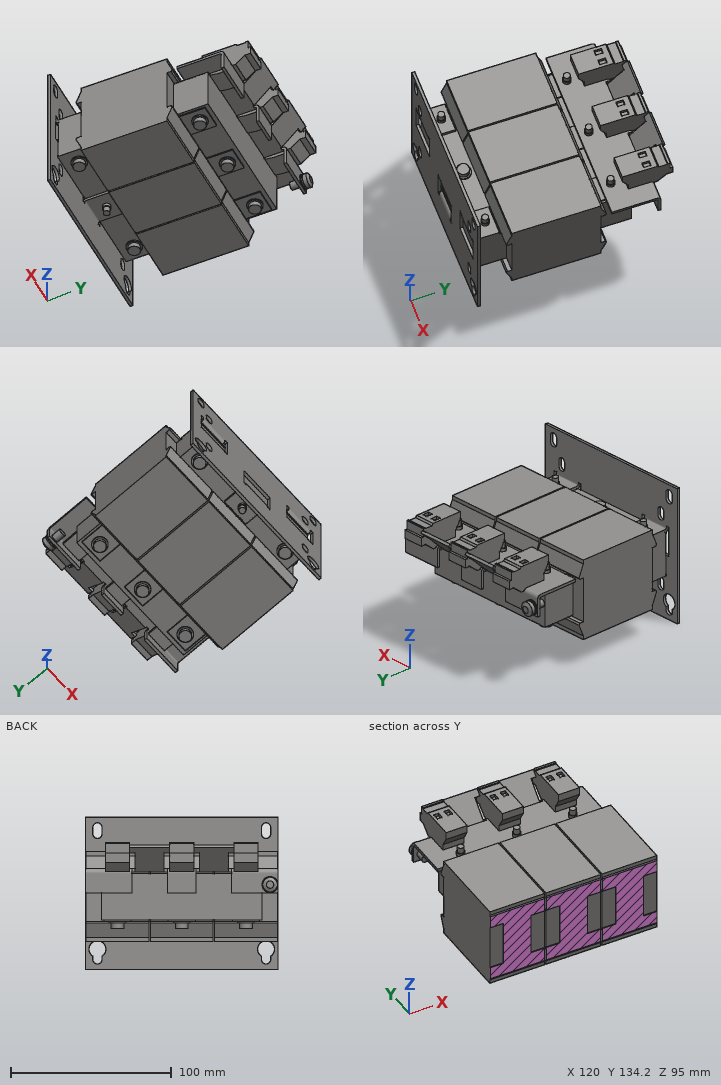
import cadquery as cq
import math


SHEET = 2.0
BEND_INNER = 1.0
BEND_OUTER = BEND_INNER + SHEET

PLATE_W = 120.0
PLATE_H = 95.0
UPRIGHT = 90.0
MOUNT_X = 52.5
MOUNT_SLOT_W = 5.6
MOUNT_SLOT_LEN = 9.6
MOUNT_SLOT_Z = 39.1
KEYHOLE_D = 10.4
KEYHOLE_Z = -34.7
KEYHOLE_END_Z = -41.1
SMALL_SLOT_X = 45.0
SMALL_SLOT_Z = 24.6
SMALL_SLOT_W = 5.0
SMALL_SLOT_LEN = 9.2

PITCH = 40.0
CENTRES = (-PITCH, 0.0, PITCH)
CORE_Z = -2.0
CORE_W = 100.0
CORE_T = 28.8
YOKE_D = 20.0
CORE_CLEARANCE = 0.5
CORE_FRONT = SHEET + CORE_CLEARANCE
CORE_BACK = 105.8
LINER_T = 1.0
STACK_HALF = CORE_T / 2 + LINER_T
STACK_TOP = CORE_Z + STACK_HALF
LINER_STRIP_W = 17.0
LINER_STRIP_BACK = 103.0
LEG_W = 20.0
COIL_W = 39.0
YOKE_GAP = 0.4
COIL_FRONT = CORE_FRONT + YOKE_D + YOKE_GAP
COIL_BACK = 82.0
COIL_HALF_H = 28.0
WING_OUT = 3.7
WING_TIP_RISE = 1.1
WING_LIP = 0.9
WING_START_DROP = 2.7

TAB_W = 20.0
TAB_END_Y = 18.4
WINDOW_W = 24.2
WINDOW_H = 20.4
WINDOW_RELIEF = 1.0

BRACKET_W = 120.0
BRACKET_FRONT = 89.0
BRACKET_BACK = 121.6
FLANGE_BOTTOM_Z = 0.3
NOTCH_W = 22.0
NOTCH_Y = 118.2
MARKER_X = PITCH / 2
MARKER_STEM_W = 18.0
MARKER_HEAD_W = 25.0
MARKER_HEAD_LEN = 5.0
MARKER_LEN = 21.5
MARKER_TIP_Y = 134.2
MARKER_ANGLE = 45.0

TERMINAL_W = 15.0
TERMINAL_TOP_Z = 31.7
TERMINAL_OUTLINE = [
    (133.9, 25.1), (132.2, 25.1), (132.2, 31.0), (130.6, 31.0),
    (130.3, 30.4), (124.8, 30.4), (123.8, TERMINAL_TOP_Z), (100.5, TERMINAL_TOP_Z),
    (100.5, 26.4), (104.5, 19.7), (104.5, 12.0), (111.7, 10.8),
    (119.6, 10.8), (121.2, 13.8), (123.6, 13.8), (130.0, 19.2),
    (133.9, 19.2),
]
WIRE_POCKET_W = 3.4
WIRE_POCKET_LEN = 4.7
WIRE_POCKET_DEPTH = 2.0
WIRE_POCKET_OFFSET = 3.7
WIRE_POCKET_Y = 117.9

FRONT_BOLT_Y = 12.3
BACK_BOLT_Y = 95.5
BOLT_WASHER_D = 10.3
BOLT_WASHER_T = 1.0
BOLT_HEAD_D = 8.0
BOLT_HEAD_H = 3.3
COLLAR_D = 5.4
COLLAR_H = 2.2
STUD_D = 4.3
STUD_REACH = 6.2

SCREW_X = -55.0
SCREW_Z = 5.5
SCREW_D = 5.4
SCREW_TIP_Y = 113.4
SCREW_WASHER_D = 10.0
SCREW_WASHER_T = 0.5
SPRING_WASHER_D = 9.0
SPRING_WASHER_T = 1.0
SCREW_HEAD_D = 9.6
SCREW_HEAD_RIM = 2.8
SCREW_HEAD_H = 4.0
SCREW_CROWN_D = 4.6


def box(x0, x1, y0, y1, z0, z1):
    """Box between opposite faces along each axis."""
    corner = cq.Workplane("XY", origin=(x0, y0, z0))
    return corner.box(x1 - x0, y1 - y0, z1 - z0, centered=False)


def extrude_x(outline, x_centre, width):
    """Extrude a (y, z) outline along X, centred on x_centre."""
    face = cq.Workplane("YZ", origin=(x_centre, 0, 0)).polyline(outline).close()
    return face.extrude(width / 2, both=True)


def rod(x, y, z_start, z_end, diameter):
    """Upright cylinder between two heights."""
    return cq.Workplane("XY", origin=(x, y, z_start)).circle(diameter / 2).extrude(z_end - z_start)


def upside_down(shape):
    """Mirror a shape about the mid-plane of the core."""
    return shape.mirror("XY", (0, 0, CORE_Z))


def plate_slots(points, length, width):
    """Cutters for upright slots through the mounting plate, centred on (x, z) points."""
    return cq.Workplane("XZ").pushPoints(points).slot2D(length, width, UPRIGHT).extrude(-SHEET)


def make_plate():
    """Flat plate with mounting slots, keyholes and small upright slots."""
    plate = box(-PLATE_W / 2, PLATE_W / 2, 0, SHEET, -PLATE_H / 2, PLATE_H / 2)
    mount_points = [(x, MOUNT_SLOT_Z) for x in (-MOUNT_X, MOUNT_X)]
    small_points = [(x, z) for x in (-SMALL_SLOT_X, SMALL_SLOT_X) for z in (-SMALL_SLOT_Z, SMALL_SLOT_Z)]
    key_points = [(x, KEYHOLE_Z) for x in (-MOUNT_X, MOUNT_X)]
    key_slot_len = KEYHOLE_Z - KEYHOLE_END_Z + MOUNT_SLOT_W
    key_slot_z = (KEYHOLE_Z + KEYHOLE_END_Z) / 2
    key_slot_points = [(x, key_slot_z) for x in (-MOUNT_X, MOUNT_X)]
    plate = plate.cut(plate_slots(mount_points, MOUNT_SLOT_LEN, MOUNT_SLOT_W))
    plate = plate.cut(plate_slots(small_points, SMALL_SLOT_LEN, SMALL_SLOT_W))
    plate = plate.cut(plate_slots(key_slot_points, key_slot_len, MOUNT_SLOT_W))
    return plate.cut(cq.Workplane("XZ").pushPoints(key_points).circle(KEYHOLE_D / 2).extrude(-SHEET))


def make_window(x):
    """Opening left in the plate where an upper tab is bent out."""
    top = STACK_TOP + BEND_OUTER + WINDOW_RELIEF
    return box(x - WINDOW_W / 2, x + WINDOW_W / 2, 0, SHEET, top - WINDOW_H, top)


def make_tab(x):
    """Upper tab, bent inward from the top edge of its window and lying on the core."""
    outline = (
        cq.Workplane("YZ")
        .moveTo(0, STACK_TOP + BEND_OUTER)
        .radiusArc((BEND_OUTER, STACK_TOP), -BEND_OUTER)
        .lineTo(TAB_END_Y, STACK_TOP)
        .lineTo(TAB_END_Y, STACK_TOP + SHEET)
        .lineTo(BEND_OUTER, STACK_TOP + SHEET)
        .radiusArc((SHEET, STACK_TOP + BEND_OUTER), BEND_INNER)
        .lineTo(SHEET, STACK_TOP + BEND_OUTER + WINDOW_RELIEF)
        .lineTo(0, STACK_TOP + BEND_OUTER + WINDOW_RELIEF)
        .close()
    )
    return outline.extrude(TAB_W / 2, both=True).translate((x, 0, 0))


def make_core():
    """Two yokes and three legs, with thin liners above and below the yokes."""
    half_w = CORE_W / 2
    low, high = CORE_Z - CORE_T / 2, CORE_Z + CORE_T / 2
    core = box(-half_w, half_w, CORE_FRONT, CORE_FRONT + YOKE_D, low, high)
    core = core.union(box(-half_w, half_w, COIL_BACK, CORE_BACK, low, high))
    for x in CENTRES:
        core = core.union(box(x - LEG_W / 2, x + LEG_W / 2, CORE_FRONT, CORE_BACK, low, high))
    liner = box(-half_w, half_w, SHEET, COIL_FRONT, high, STACK_TOP)
    for x in CENTRES:
        half_strip = LINER_STRIP_W / 2
        liner = liner.union(box(x - half_strip, x + half_strip, COIL_BACK, LINER_STRIP_BACK, high, STACK_TOP))
    return core.union(liner).union(upside_down(liner))


def make_coil(x):
    """Coil block whose ends flare into wings above and below the yokes."""
    wing_start = COIL_HALF_H - WING_START_DROP
    wing_tip = STACK_HALF + WING_TIP_RISE
    quarter = [
        (0, COIL_HALF_H),
        (0, wing_start),
        (WING_OUT, wing_tip),
        (WING_OUT - WING_LIP, STACK_HALF),
        (0, STACK_HALF),
    ]
    end = quarter + [(out, -h) for out, h in reversed(quarter)]
    front = [(COIL_FRONT - out, CORE_Z + h) for out, h in end]
    back = [(COIL_BACK + out, CORE_Z + h) for out, h in reversed(end)]
    return extrude_x(front + back, x, COIL_W)


def make_marker(x):
    """T-shaped marker plate rising from the bracket's back edge."""
    cos_a = math.cos(math.radians(MARKER_ANGLE))
    sin_a = math.sin(math.radians(MARKER_ANGLE))
    root_y = MARKER_TIP_Y - MARKER_LEN * cos_a

    def along(distance, height):
        return (root_y + distance * cos_a - height * sin_a, STACK_TOP + distance * sin_a + height * cos_a)

    head_start = MARKER_LEN - MARKER_HEAD_LEN
    head = [along(head_start, 0), along(MARKER_LEN, 0), along(MARKER_LEN, SHEET), along(head_start, SHEET)]
    bend_height = SHEET * math.tan(math.radians(MARKER_ANGLE / 2))
    top_y = root_y - bend_height
    stem = [
        (NOTCH_Y - SHEET, STACK_TOP),
        (root_y, STACK_TOP),
        along(MARKER_LEN, 0),
        along(MARKER_LEN, SHEET),
        (top_y, STACK_TOP + SHEET),
        (NOTCH_Y - SHEET, STACK_TOP + SHEET),
    ]
    return extrude_x(stem, x, MARKER_STEM_W).union(extrude_x(head, x, MARKER_HEAD_W))


def make_bracket():
    """Sheet on the back yoke with a down-turned, notched flange and two markers."""
    top = STACK_TOP + SHEET
    outline = (
        cq.Workplane("YZ")
        .moveTo(BRACKET_FRONT, STACK_TOP)
        .lineTo(BRACKET_FRONT, top)
        .lineTo(BRACKET_BACK - BEND_OUTER, top)
        .radiusArc((BRACKET_BACK, top - BEND_OUTER), BEND_OUTER)
        .lineTo(BRACKET_BACK, FLANGE_BOTTOM_Z)
        .lineTo(BRACKET_BACK - SHEET, FLANGE_BOTTOM_Z)
        .lineTo(BRACKET_BACK - SHEET, top - BEND_OUTER)
        .radiusArc((BRACKET_BACK - BEND_OUTER, STACK_TOP), -BEND_INNER)
        .close()
    )
    bracket = outline.extrude(BRACKET_W / 2, both=True)
    for x in (-MARKER_X, MARKER_X):
        notch = box(x - NOTCH_W / 2, x + NOTCH_W / 2, NOTCH_Y, BRACKET_BACK, FLANGE_BOTTOM_Z, top)
        bracket = bracket.cut(notch).union(make_marker(x))
    return bracket


def make_terminal(x):
    """Terminal block with two shallow wire pockets in its top."""
    terminal = extrude_x(TERMINAL_OUTLINE, x, TERMINAL_W)
    pockets = (
        cq.Workplane("XY", origin=(x, WIRE_POCKET_Y, TERMINAL_TOP_Z))
        .pushPoints([(-WIRE_POCKET_OFFSET, 0), (WIRE_POCKET_OFFSET, 0)])
        .rect(WIRE_POCKET_W, WIRE_POCKET_LEN)
        .extrude(-WIRE_POCKET_DEPTH)
    )
    return terminal.cut(pockets)


def make_bolt(x, y):
    """Bolt with its head below the core and its collar and stud above the sheet."""
    washer_z = CORE_Z - STACK_HALF
    head_z = washer_z - BOLT_WASHER_T
    sheet_z = STACK_TOP + SHEET
    bolt = rod(x, y, washer_z, sheet_z + STUD_REACH, STUD_D)
    bolt = bolt.union(rod(x, y, head_z, washer_z, BOLT_WASHER_D))
    bolt = bolt.union(rod(x, y, head_z - BOLT_HEAD_H, head_z, BOLT_HEAD_D))
    return bolt.union(rod(x, y, sheet_z, sheet_z + COLLAR_H, COLLAR_D))


def make_earth_screw():
    """Pan-head screw with two washers, revolved about an axis along Y."""
    washer_y = BRACKET_BACK + SCREW_WASHER_T
    head_y = washer_y + SPRING_WASHER_T
    rim_y = head_y + SCREW_HEAD_RIM
    crown_y = head_y + SCREW_HEAD_H
    profile = (
        cq.Workplane("XY")
        .moveTo(0, SCREW_TIP_Y)
        .lineTo(SCREW_D / 2, SCREW_TIP_Y)
        .lineTo(SCREW_D / 2, BRACKET_BACK)
        .lineTo(SCREW_WASHER_D / 2, BRACKET_BACK)
        .lineTo(SCREW_WASHER_D / 2, washer_y)
        .lineTo(SPRING_WASHER_D / 2, washer_y)
        .lineTo(SPRING_WASHER_D / 2, head_y)
        .lineTo(SCREW_HEAD_D / 2, head_y)
        .lineTo(SCREW_HEAD_D / 2, rim_y)
        .radiusArc((SCREW_CROWN_D / 2, crown_y), -SCREW_HEAD_D)
        .lineTo(0, crown_y)
        .close()
    )
    return profile.revolve(360, (0, 0, 0), (0, 1, 0)).translate((SCREW_X, 0, SCREW_Z))


result = make_plate()
for tab_x in (-PITCH, PITCH):
    result = result.cut(make_window(tab_x)).union(make_tab(tab_x))
result = result.cut(upside_down(make_window(0))).union(upside_down(make_tab(0)))

result = result.union(make_core()).union(make_bracket())
for centre_x in CENTRES:
    result = result.union(make_coil(centre_x))
    result = result.union(make_terminal(centre_x))
    result = result.union(make_bolt(centre_x, BACK_BOLT_Y))
for bolt_x in (-PITCH, PITCH):
    result = result.union(make_bolt(bolt_x, FRONT_BOLT_Y))
result = result.union(upside_down(make_bolt(0, FRONT_BOLT_Y)))
result = result.union(make_earth_screw())